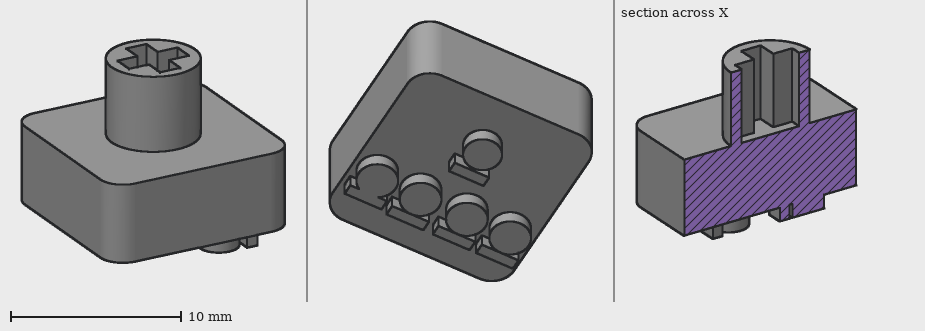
import cadquery as cq

body_x = 12.14
body_y = 12.2
body_height = 5.0
corner_radius = 1.5

stem_diameter = 5.6
stem_height = 4.8
socket_length_x = 4.1
socket_length_y = 4.04
arm_width_x = 1.4
arm_width_y = 1.36
socket_depth = stem_height

foot_height = 0.9
foot_diameter = 2.46
bar_depth = 0.7
row_gap = 1.42
row_y_offset = 0.03
row_x_offset = -0.07
foot_length = 3.16
short_foot_length = 2.98
outer_foot_x = 4.45
inner_foot_x = 1.55
front_foot_diameter = 2.3

back_row_start = row_y_offset + row_gap / 2
front_row_start = row_y_offset - row_gap / 2 - foot_length


def make_body():
    block = cq.Workplane("XY").box(body_x, body_y, body_height, centered=(True, True, False))
    return block.edges("|Z").fillet(corner_radius)


def make_stem():
    return cq.Workplane("XY").workplane(offset=body_height).circle(stem_diameter / 2).extrude(stem_height)


def make_socket():
    top = cq.Workplane("XY").workplane(offset=body_height + stem_height)
    arm_along_x = top.rect(socket_length_x, arm_width_y).extrude(-socket_depth)
    arm_along_y = top.rect(arm_width_x, socket_length_y).extrude(-socket_depth)
    return arm_along_x.union(arm_along_y)


def make_foot(center_x, start_y, diameter, length):
    """Foot whose round end touches start_y and whose bar ends at start_y + length."""
    underside = cq.Workplane("XY")
    pad = underside.center(center_x, start_y + diameter / 2).circle(diameter / 2).extrude(-foot_height)
    bar_y = start_y + length - bar_depth / 2
    bar = underside.center(center_x, bar_y).rect(diameter, bar_depth).extrude(-foot_height)
    return pad.union(bar)


def add_feet(part):
    part = part.union(make_foot(row_x_offset - outer_foot_x, back_row_start, foot_diameter, short_foot_length))
    for center_x in (-inner_foot_x, inner_foot_x, outer_foot_x):
        part = part.union(make_foot(row_x_offset + center_x, back_row_start, foot_diameter, foot_length))
    return part.union(make_foot(0, front_row_start, front_foot_diameter, foot_length))


result = add_feet(make_body().union(make_stem()).cut(make_socket()))